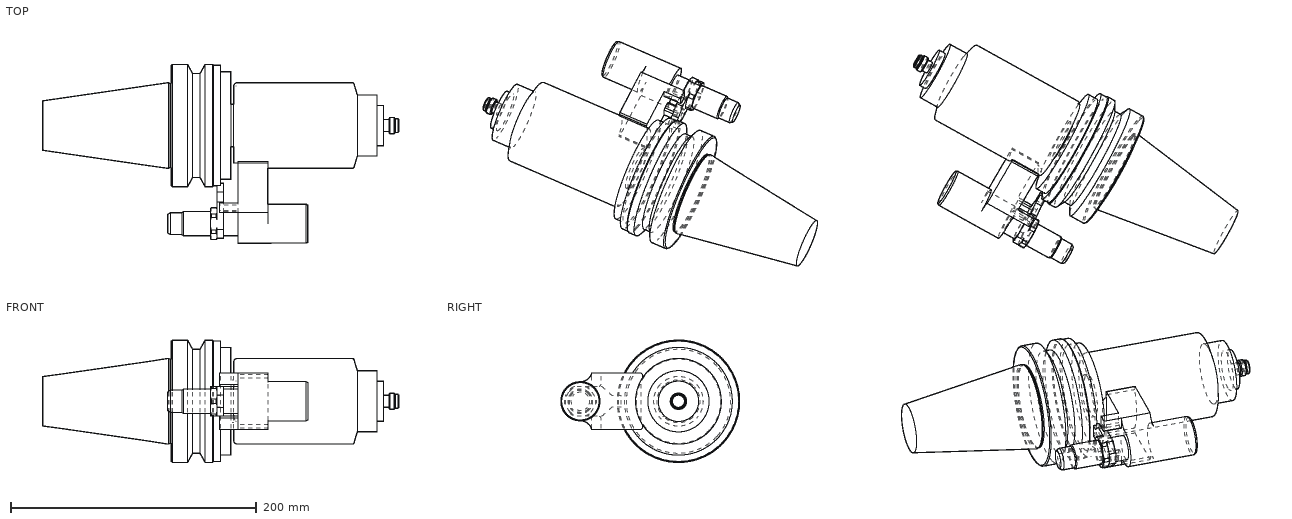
import cadquery as cq
import math


TAPER_LENGTH = 101.8
TAPER_LARGE_D = 70.0
TAPER_SMALL_D = 40.5
RELIEF_D = 68.9
RELIEF_START_X = 1.0
RELIEF_FLOOR_X = 2.0

FLANGE_D = 100.0
FLANGE_START_X = 3.0
FLANGE_EDGE_CHAMFER = 1.0
GROOVE_D = 85.0
GROOVE_START_X = 16.5
GROOVE_FLOOR_START_X = 20.6
GROOVE_FLOOR_END_X = 26.6
GROOVE_END_X = 30.7
FLANGE_END_X = 36.8
RIM_D = 98.5
RIM_STEP = (FLANGE_D - RIM_D) / 2
RIM_END_X = 43.5
COLLAR_D = 88.0
COLLAR_END_X = 51.7
NECK_D = 35.0

BODY_D = 70.0
BODY_START_X = 54.0
BODY_FRONT_ROUND = 3.0
BODY_CONE_START_X = 152.0
BODY_REAR_ROUND = 1.5
BODY_END_X = 155.0
BODY_FLAT_DEPTH = 4.4
BOSS_D = 50.0
BOSS_END_X = 171.0
CAP_D = 33.0
CAP_END_X = 176.4
STEM_D = 10.0
STEM_END_X = 180.8
KNOB_D = 13.4
KNOB_LENGTH = 4.8
KNOB_CHAMFER = 0.8
TIP_D = 11.5
TIP_GROOVE_D = 10.5
TIP_GROOVE_WIDTH = 0.6
TIP_CHAMFER = 0.8
OVERALL_LENGTH = 290.62
TIP_END_X = OVERALL_LENGTH - TAPER_LENGTH

PIN_Y = -80.0
PIN_START_X = 0.2
PIN_NOSE_D = 18.0
PIN_TIP_D = 15.0
PIN_TIP_CONE_D = 16.6
PIN_TIP_CONE_LENGTH = 1.0
PIN_NOSE_CONE_LENGTH = 1.2
PIN_NOSE_END_X = 12.1
PIN_D = 20.0
PIN_EDGE_CHAMFER = 0.9
SLEEVE_D = 32.0
SLEEVE_START_X = 57.4
SLEEVE_END_X = 114.6
SLEEVE_CHAMFER = 1.5

NUT_START_X = 35.3
NUT_ACROSS_FLATS = 24.0
NUT_CORNER_D = 26.0
NUT_CHAMFER = 0.5
PLATE_START_X = 40.3
PLATE_END_X = 45.8
PLATE_WIDTH = 24.0
PLATE_TONGUE_WIDTH = 9.6
PLATE_TIP_Y = -47.0
PLATE_TONGUE_END_Y = -54.3
PLATE_SHOULDER_Y = -62.3

BRACKET_END_X = 82.0
BRACKET_HALF_HEIGHT = 23.1
BRACKET_INNER_Y = -29.4
BRACKET_INNER_CHAMFER = 1.2
BRACKET_OUTER_Y = -70.8
ARM_START_X = 42.6
ARM_INNER_Y = -63.1
ARM_INNER_Z = PLATE_WIDTH / 2
ARM_CHAMFER = 1.5


def revolve_about_x(profile):
    return profile.close().revolve(360, (0, 0, 0), (1, 0, 0))


def cylinder_x(diameter, start_x, end_x, y=0):
    return (cq.Workplane("YZ", origin=(start_x, y, 0))
            .circle(diameter / 2).extrude(end_x - start_x))


def box_between(x, y, z):
    return (cq.Workplane("XY")
            .box(x[1] - x[0], y[1] - y[0], z[1] - z[0], centered=False)
            .translate((x[0], y[0], z[0])))


def make_taper_and_flange():
    flange_r = FLANGE_D / 2
    edge_r = flange_r - FLANGE_EDGE_CHAMFER
    profile = (cq.Workplane("XY")
               .moveTo(-TAPER_LENGTH, 0)
               .lineTo(-TAPER_LENGTH, TAPER_SMALL_D / 2)
               .lineTo(0, TAPER_LARGE_D / 2)
               .lineTo(RELIEF_START_X, TAPER_LARGE_D / 2)
               .lineTo(RELIEF_FLOOR_X, RELIEF_D / 2)
               .lineTo(FLANGE_START_X, RELIEF_D / 2)
               .lineTo(FLANGE_START_X, edge_r)
               .lineTo(FLANGE_START_X + FLANGE_EDGE_CHAMFER, flange_r)
               .lineTo(GROOVE_START_X, flange_r)
               .lineTo(GROOVE_FLOOR_START_X, GROOVE_D / 2)
               .lineTo(GROOVE_FLOOR_END_X, GROOVE_D / 2)
               .lineTo(GROOVE_END_X, flange_r)
               .lineTo(FLANGE_END_X, flange_r)
               .lineTo(FLANGE_END_X + RIM_STEP, RIM_D / 2)
               .lineTo(RIM_END_X, RIM_D / 2)
               .lineTo(RIM_END_X, COLLAR_D / 2)
               .lineTo(COLLAR_END_X, COLLAR_D / 2)
               .lineTo(COLLAR_END_X, 0))
    neck = cylinder_x(NECK_D, COLLAR_END_X, BODY_START_X)
    return revolve_about_x(profile).union(neck)


def make_body():
    body_r = BODY_D / 2
    round_start_x = BODY_START_X + BODY_FRONT_ROUND
    profile = (cq.Workplane("XY")
               .moveTo(BODY_START_X, 0)
               .lineTo(BODY_START_X, body_r - BODY_FRONT_ROUND)
               .radiusArc((round_start_x, body_r), BODY_FRONT_ROUND)
               .lineTo(BODY_CONE_START_X, body_r)
               .lineTo(BODY_END_X, BOSS_D / 2)
               .lineTo(BODY_END_X, 0))
    body = revolve_about_x(profile)
    margin = BODY_REAR_ROUND
    cone_edge = cq.selectors.BoxSelector(
        (BODY_CONE_START_X - margin, -body_r - margin, -body_r - margin),
        (BODY_CONE_START_X + margin, body_r + margin, body_r + margin),
        boundingbox=True)
    body = body.edges(cone_edge).fillet(BODY_REAR_ROUND)
    flat_y = BODY_FLAT_DEPTH - body_r
    flat_cutter = box_between((BODY_START_X, BRACKET_END_X), (-body_r, flat_y), (-body_r, body_r))
    return body.cut(flat_cutter)


def make_tail():
    knob_end_x = STEM_END_X + KNOB_LENGTH
    boss = cylinder_x(BOSS_D, BODY_END_X, BOSS_END_X)
    cap = cylinder_x(CAP_D, BOSS_END_X, CAP_END_X)
    stem = cylinder_x(STEM_D, CAP_END_X, STEM_END_X)
    knob = cylinder_x(KNOB_D, STEM_END_X, knob_end_x).edges().chamfer(KNOB_CHAMFER)
    tip_groove = cylinder_x(TIP_GROOVE_D, knob_end_x, knob_end_x + TIP_GROOVE_WIDTH)
    tip = cylinder_x(TIP_D, knob_end_x + TIP_GROOVE_WIDTH, TIP_END_X)
    tip = tip.faces(">X").chamfer(TIP_CHAMFER)
    return boss.union(cap).union(stem).union(knob).union(tip_groove).union(tip)


def make_pin_and_sleeve():
    tip_cone_end_x = PIN_START_X + PIN_TIP_CONE_LENGTH
    nose_profile = (cq.Workplane("XY")
                    .moveTo(PIN_START_X, 0)
                    .lineTo(PIN_START_X, PIN_TIP_D / 2)
                    .lineTo(tip_cone_end_x, PIN_TIP_CONE_D / 2)
                    .lineTo(tip_cone_end_x + PIN_NOSE_CONE_LENGTH, PIN_NOSE_D / 2)
                    .lineTo(PIN_NOSE_END_X, PIN_NOSE_D / 2)
                    .lineTo(PIN_NOSE_END_X, 0))
    nose = revolve_about_x(nose_profile).translate((0, PIN_Y, 0))
    pin = (cylinder_x(PIN_D, PIN_NOSE_END_X, SLEEVE_START_X, PIN_Y)
           .faces("<X").chamfer(PIN_EDGE_CHAMFER))
    sleeve = (cylinder_x(SLEEVE_D, SLEEVE_START_X, SLEEVE_END_X, PIN_Y)
              .faces(">X").chamfer(SLEEVE_CHAMFER, SLEEVE_CHAMFER / 2))
    return nose.union(pin).union(sleeve)


def make_nut():
    vertex_circle_d = NUT_ACROSS_FLATS / math.cos(math.pi / 6)
    hexagon = (cq.Workplane("YZ", origin=(NUT_START_X, PIN_Y, 0))
               .polygon(6, vertex_circle_d)
               .extrude(PLATE_START_X - NUT_START_X))
    corner_limit = cylinder_x(NUT_CORNER_D, NUT_START_X, PLATE_START_X, PIN_Y)
    corner_limit = corner_limit.edges().chamfer(NUT_CHAMFER)
    return hexagon.intersect(corner_limit)


def make_plate():
    half_width = PLATE_WIDTH / 2
    half_facet = half_width * math.tan(math.pi / 8)
    half_tongue = PLATE_TONGUE_WIDTH / 2
    return (cq.Workplane("YZ", origin=(PLATE_START_X, 0, 0))
            .moveTo(PLATE_TIP_Y, half_tongue)
            .lineTo(PLATE_TONGUE_END_Y, half_tongue)
            .lineTo(PLATE_SHOULDER_Y, half_width)
            .lineTo(PIN_Y - half_facet, half_width)
            .lineTo(PIN_Y - half_width, half_facet)
            .lineTo(PIN_Y - half_width, -half_facet)
            .lineTo(PIN_Y - half_facet, -half_width)
            .lineTo(PLATE_SHOULDER_Y, -half_width)
            .lineTo(PLATE_TONGUE_END_Y, -half_tongue)
            .lineTo(PLATE_TIP_Y, -half_tongue)
            .close().extrude(PLATE_END_X - PLATE_START_X))


def make_bracket():
    sleeve_r = SLEEVE_D / 2
    top = BRACKET_HALF_HEIGHT
    web_run = BRACKET_OUTER_Y - PIN_Y
    web_rise = top - sleeve_r
    web_fillet_r = (web_run ** 2 + web_rise ** 2) / (2 * web_rise)
    block = box_between((SLEEVE_START_X, BRACKET_END_X), (BRACKET_OUTER_Y, BRACKET_INNER_Y), (-top, top))
    block = block.faces(">Y").edges("|X").chamfer(BRACKET_INNER_CHAMFER)
    web = (cq.Workplane("YZ", origin=(SLEEVE_START_X, 0, 0))
           .moveTo(BRACKET_OUTER_Y, -top)
           .lineTo(BRACKET_OUTER_Y, top)
           .radiusArc((PIN_Y, sleeve_r), web_fillet_r)
           .lineTo(PIN_Y, -sleeve_r)
           .radiusArc((BRACKET_OUTER_Y, -top), web_fillet_r)
           .close().extrude(BRACKET_END_X - SLEEVE_START_X))
    upper_arm = box_between((ARM_START_X, SLEEVE_START_X), (BRACKET_OUTER_Y, ARM_INNER_Y), (ARM_INNER_Z, top))
    upper_arm = upper_arm.faces("<Z").edges("|X").chamfer(ARM_CHAMFER)
    lower_arm = upper_arm.mirror("XY")
    return block.union(web).union(upper_arm).union(lower_arm)


result = (make_taper_and_flange()
          .union(make_body())
          .union(make_tail())
          .union(make_pin_and_sleeve())
          .union(make_nut())
          .union(make_plate())
          .union(make_bracket()))